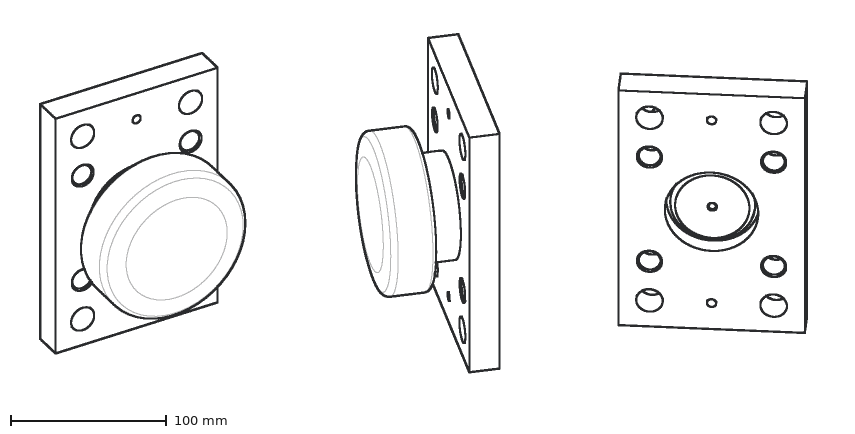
import cadquery as cq
import math

plate_thickness = 20.0
plate_width = 120.0
plate_height = 180.0

hub_radius = 35.5
hub_end = 38.7
collar_radius = 37.5
roller_start = 39.8
roller_radius = 53.8
roller_back_fillet = 2.7
shoulder_start = 65.3
shoulder_end = 69.5
crown_outer_radius = 50.4
front_face_radius = 37.5
overall_depth = 71.5

recess_radius = 30.0
recess_depth = 12.0
pin_radius = 27.4
pin_chamfer = 3.5
pin_height = 6.1

pin_hole_diameter = 4.7
pin_hole_mouth_diameter = 6.0
pin_hole_depth = 19.8
drill_tip_angle = 118.0

hole_offset_y = 40.0
outer_hole_offset_z = 70.0
outer_hole_diameter = 17.1
threaded_hole_offset_z = 40.0
threaded_hole_diameter = 14.0
threaded_hole_mouth_diameter = 16.2
dowel_hole_diameter = 6.0


def revolve_about_x(profile):
    """Close a profile drawn as (X, radius) and turn it about the X axis."""
    return profile.close().revolve(360, (0, 0, 0), (1, 0, 0))


def make_plate():
    return cq.Workplane("XY").box(
        plate_thickness, plate_width, plate_height, centered=(False, True, True)
    )


def make_roller():
    """Hub, collar and roller with a rounded shoulder and a crowned front."""
    fillet_middle = roller_back_fillet * (1 - math.sqrt(0.5))
    crown_drop = overall_depth - shoulder_end
    crown_width = crown_outer_radius - front_face_radius
    crown_arc_radius = (crown_drop**2 + crown_width**2) / (2 * crown_drop)
    half_crown_angle = math.asin(crown_width / crown_arc_radius) / 2
    crown_middle = (
        overall_depth - crown_arc_radius * (1 - math.cos(half_crown_angle)),
        front_face_radius + crown_arc_radius * math.sin(half_crown_angle),
    )
    profile = (
        cq.Workplane("XY")
        .moveTo(recess_depth, 0)
        .lineTo(recess_depth, hub_radius)
        .lineTo(hub_end, hub_radius)
        .lineTo(hub_end, collar_radius)
        .lineTo(roller_start, collar_radius)
        .lineTo(roller_start, roller_radius - roller_back_fillet)
        .threePointArc(
            (roller_start + fillet_middle, roller_radius - fillet_middle),
            (roller_start + roller_back_fillet, roller_radius),
        )
        .lineTo(shoulder_start, roller_radius)
        .tangentArcPoint((shoulder_end, crown_outer_radius), relative=False)
        .threePointArc(crown_middle, (overall_depth, front_face_radius))
        .lineTo(overall_depth, 0)
    )
    return revolve_about_x(profile)


def make_recess():
    """Ring-shaped recess that leaves the chamfered pin end standing on its floor."""
    pin_face = recess_depth - pin_height
    profile = (
        cq.Workplane("XY")
        .lineTo(0, recess_radius)
        .lineTo(recess_depth, recess_radius)
        .lineTo(recess_depth, pin_radius)
        .lineTo(pin_face + pin_chamfer, pin_radius)
        .lineTo(pin_face, pin_radius - pin_chamfer)
        .lineTo(pin_face, 0)
    )
    return revolve_about_x(profile)


def make_pin_hole():
    """Drilled hole with a 45 degree mouth and a conical bottom."""
    pin_face = recess_depth - pin_height
    radius = pin_hole_diameter / 2
    mouth_radius = pin_hole_mouth_diameter / 2
    straight_end = pin_face + pin_hole_depth
    tip_length = radius / math.tan(math.radians(drill_tip_angle / 2))
    profile = (
        cq.Workplane("XY")
        .moveTo(pin_face, 0)
        .lineTo(pin_face, mouth_radius)
        .lineTo(pin_face + mouth_radius - radius, radius)
        .lineTo(straight_end, radius)
        .lineTo(straight_end + tip_length, 0)
    )
    return revolve_about_x(profile)


def make_plain_hole(diameter):
    return cq.Workplane("YZ").circle(diameter / 2).extrude(plate_thickness)


def make_threaded_hole():
    """Core hole of a thread, chamfered at 45 degrees on both plate faces."""
    radius = threaded_hole_diameter / 2
    mouth_radius = threaded_hole_mouth_diameter / 2
    chamfer = mouth_radius - radius
    profile = (
        cq.Workplane("XY")
        .lineTo(0, mouth_radius)
        .lineTo(chamfer, radius)
        .lineTo(plate_thickness - chamfer, radius)
        .lineTo(plate_thickness, mouth_radius)
        .lineTo(plate_thickness, 0)
    )
    return revolve_about_x(profile)


plate = make_plate()
for z_side in (-1, 1):
    outer_z = z_side * outer_hole_offset_z
    plate = plate.cut(make_plain_hole(dowel_hole_diameter).translate((0, 0, outer_z)))
    for y_side in (-1, 1):
        hole_y = y_side * hole_offset_y
        threaded_z = z_side * threaded_hole_offset_z
        plate = plate.cut(make_plain_hole(outer_hole_diameter).translate((0, hole_y, outer_z)))
        plate = plate.cut(make_threaded_hole().translate((0, hole_y, threaded_z)))

result = plate.union(make_roller()).cut(make_recess()).cut(make_pin_hole())